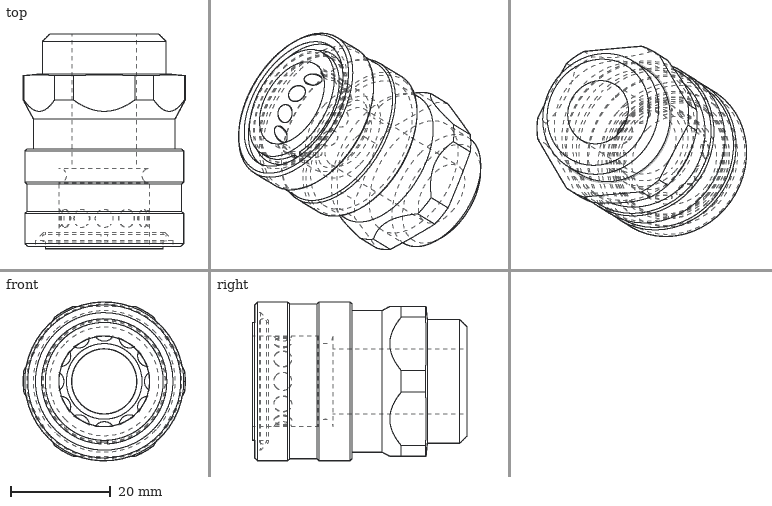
import cadquery as cq
import math


LENGTH = 43.0

SLEEVE_DIA = 31.8
WAIST_DIA = 31.0
SLEEVE_FRONT = 0.47
WAIST_FRONT = 7.5
WAIST_REAR = 12.95
SLEEVE_REAR = 20.0
SLEEVE_FRONT_CHAMFER = 0.6
SLEEVE_REAR_CHAMFER = 0.45

NECK_DIA = 28.4
NECK_REAR = 25.97
HEX_CORNER_DIA = 32.45
HEX_ACROSS_FLATS = 30.0
HEX_FRONT = 29.8
HEX_REAR = 35.0
HEX_REAR_BEVEL = 0.35
HEX_REAR_FACE_DIA = 25.35
SPIGOT_DIA = 24.8
SPIGOT_CHAMFER = 1.5

NOSE_DIA = 23.6
SLEEVE_MOUTH_DIA = 27.5
SLEEVE_THROAT_DIA = 24.35
MOUTH_DEPTH = 1.2

WIRE_DIA = 1.45
WIRE_FRONT = 1.4
WIRE_SPLIT = 1.38

THROUGH_DIA = 13.0
SOCKET_DIA = 18.1
SOCKET_DEPTH = 16.12
SEAL_INNER_DIA = 15.15

BALL_COUNT = 12
BALL_DIA = 4.2
BALL_CIRCLE_DIA = 20.3
BALL_DEPTH = 6.1
BALL_WINDOW_DIA = 3.6


def revolve_profile(points):
    """Turn a closed (radius, y) outline around the Y axis."""
    return cq.Workplane("XY").polyline(points).close().revolve(360, (0, 0, 0), (0, 1, 0))


def ring(centre_radius, wire_radius, y):
    """Torus around the Y axis."""
    circle = cq.Workplane("XY").center(centre_radius, y).circle(wire_radius)
    return circle.revolve(360, (-centre_radius, 0, 0), (-centre_radius, 1, 0))


def make_front():
    """Sleeve, neck and nose, including the conical gap around the nose."""
    sleeve_r = SLEEVE_DIA / 2
    waist_r = WAIST_DIA / 2
    neck_r = NECK_DIA / 2
    nose_r = NOSE_DIA / 2
    mouth_r = SLEEVE_MOUTH_DIA / 2
    throat_r = SLEEVE_THROAT_DIA / 2
    band_chamfer = sleeve_r - waist_r
    cone_front = SLEEVE_FRONT + MOUTH_DEPTH
    cone_rear = cone_front + mouth_r - throat_r
    return revolve_profile([
        (0, 0),
        (nose_r, 0),
        (nose_r, cone_rear),
        (throat_r, cone_rear),
        (mouth_r, cone_front),
        (mouth_r, SLEEVE_FRONT),
        (sleeve_r - SLEEVE_FRONT_CHAMFER, SLEEVE_FRONT),
        (sleeve_r, SLEEVE_FRONT + SLEEVE_FRONT_CHAMFER),
        (sleeve_r, WAIST_FRONT - band_chamfer),
        (waist_r, WAIST_FRONT),
        (waist_r, WAIST_REAR),
        (sleeve_r, WAIST_REAR + band_chamfer),
        (sleeve_r, SLEEVE_REAR - SLEEVE_REAR_CHAMFER),
        (sleeve_r - SLEEVE_REAR_CHAMFER, SLEEVE_REAR),
        (neck_r, SLEEVE_REAR),
        (neck_r, NECK_REAR),
        (0, NECK_REAR),
    ])


def make_hex_collar():
    """Hexagon with corners on X, turned to a cone in front and bevelled behind."""
    corner_r = HEX_CORNER_DIA / 2
    turned = revolve_profile([
        (0, NECK_REAR),
        (NECK_DIA / 2, NECK_REAR),
        (corner_r, HEX_FRONT),
        (corner_r, HEX_REAR - HEX_REAR_BEVEL),
        (HEX_REAR_FACE_DIA / 2, HEX_REAR),
        (0, HEX_REAR),
    ])
    sharp_corner_dia = HEX_ACROSS_FLATS / math.cos(math.pi / 6)
    prism = cq.Workplane("XZ").polygon(6, sharp_corner_dia).extrude(-LENGTH)
    return turned.intersect(prism)


def make_spigot():
    start = cq.Workplane("XZ", origin=(0, HEX_REAR, 0))
    spigot = start.circle(SPIGOT_DIA / 2).extrude(HEX_REAR - LENGTH)
    return spigot.faces(">Y").chamfer(SPIGOT_CHAMFER)


def make_wire_ring():
    """Wire ring around the nose, split at the bottom."""
    wire = ring(NOSE_DIA / 2, WIRE_DIA / 2, WIRE_FRONT + WIRE_DIA / 2)
    seam_at_bottom = wire.rotate((0, 0, 0), (0, 1, 0), 90)
    split = cq.Workplane("XY").box(WIRE_SPLIT, LENGTH, NOSE_DIA).translate((0, 0, -NOSE_DIA / 2))
    return seam_at_bottom.cut(split)


def bore(diameter, depth):
    return cq.Workplane("XZ").circle(diameter / 2).extrude(-depth)


def make_seal():
    """Seal ring half sunk in the socket wall, resting on the socket floor."""
    seal_radius = (SOCKET_DIA - SEAL_INNER_DIA) / 2
    return ring(SOCKET_DIA / 2, seal_radius, SOCKET_DEPTH - seal_radius)


def radial_pattern(feature):
    """Copies of a feature spread evenly around the Y axis."""
    step = 360 / BALL_COUNT
    copies = cq.Workplane("XY")
    for i in range(BALL_COUNT):
        copies = copies.add(feature.rotate((0, 0, 0), (0, 1, 0), i * step))
    return copies.combine()


def make_balls():
    ball = cq.Workplane("XY").sphere(BALL_DIA / 2).translate((BALL_CIRCLE_DIA / 2, BALL_DEPTH, 0))
    return radial_pattern(ball)


def make_ball_windows():
    """Round windows in the socket wall, out to the ball centres."""
    outline = cq.Workplane("YZ").center(BALL_DEPTH, 0).circle(BALL_WINDOW_DIA / 2)
    window = outline.extrude(BALL_CIRCLE_DIA / 2)
    return radial_pattern(window)


body = make_front().union(make_hex_collar()).union(make_spigot()).union(make_wire_ring())
body = body.cut(bore(THROUGH_DIA, LENGTH)).cut(bore(SOCKET_DIA, SOCKET_DEPTH))
body = body.union(make_seal())
result = body.cut(make_ball_windows()).union(make_balls())